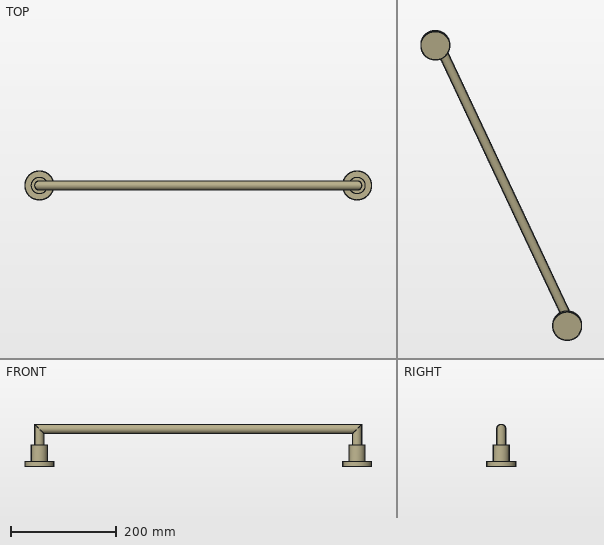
import cadquery as cq

overall_length = 655.0
overall_height = 80.0
flange_diameter = 55.0
flange_thickness = 10.0
sleeve_diameter = 31.0
sleeve_top = 41.0
bar_diameter = 18.0

post_x = (overall_length - flange_diameter) / 2
bar_axis_z = overall_height - bar_diameter / 2


def make_mount(x):
    """Round wall flange with a sleeve standing on it, centred at x."""
    flange = cq.Workplane("XY").center(x, 0).circle(flange_diameter / 2).extrude(flange_thickness)
    sleeve = cq.Workplane("XY").center(x, 0).circle(sleeve_diameter / 2).extrude(sleeve_top)
    return flange.union(sleeve)


def make_bar():
    """Round bar with two mitred corners and legs that rest on the sleeves."""
    path = cq.Workplane("XZ").polyline([
        (-post_x, sleeve_top),
        (-post_x, bar_axis_z),
        (post_x, bar_axis_z),
        (post_x, sleeve_top),
    ])
    profile = cq.Workplane("XY", origin=(-post_x, 0, sleeve_top)).circle(bar_diameter / 2)
    return profile.sweep(path, transition="right")


bar = make_bar()
mounts = [make_mount(x) for x in (-post_x, post_x)]

result = cq.Compound.makeCompound([bar.val(), *[mount.val() for mount in mounts]])